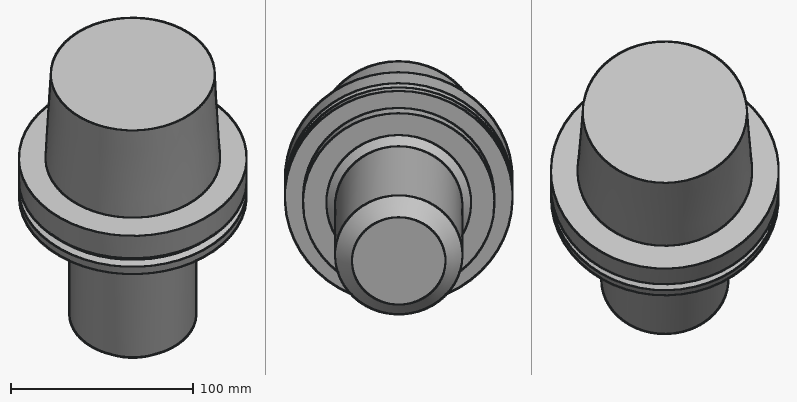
import cadquery as cq

total_height = 190.0
tip_chamfer_height = 9.3
shank_top = 85.1
collar_bottom = 89.9
flange_bottom = 98.0
flange_top = 127.0

shank_diameter = 70.0
collar_diameter = 105.0
flange_diameter = 125.0
groove_diameter = 117.0
taper_base_diameter = 96.0
taper_top_diameter = 90.0

tip_chamfer_width = 9.3
shoulder_height = collar_bottom - shank_top
shoulder_width = shoulder_height

groove_mouth_bottom = 103.5
groove_floor_bottom = 105.0
groove_floor_top = 108.5
groove_mouth_top = 110.0

shank_radius = shank_diameter / 2
collar_radius = collar_diameter / 2
flange_radius = flange_diameter / 2
groove_radius = groove_diameter / 2

half_section = [
    (0, 0),
    (shank_radius - tip_chamfer_width, 0),
    (shank_radius, tip_chamfer_height),
    (shank_radius, shank_top),
    (shank_radius + shoulder_width, collar_bottom),
    (collar_radius, collar_bottom),
    (collar_radius, flange_bottom),
    (flange_radius, flange_bottom),
    (flange_radius, groove_mouth_bottom),
    (groove_radius, groove_floor_bottom),
    (groove_radius, groove_floor_top),
    (flange_radius, groove_mouth_top),
    (flange_radius, flange_top),
    (taper_base_diameter / 2, flange_top),
    (taper_top_diameter / 2, total_height),
    (0, total_height),
]

result = cq.Workplane("XZ").polyline(half_section).close().revolve(360, (0, 0), (0, 1))